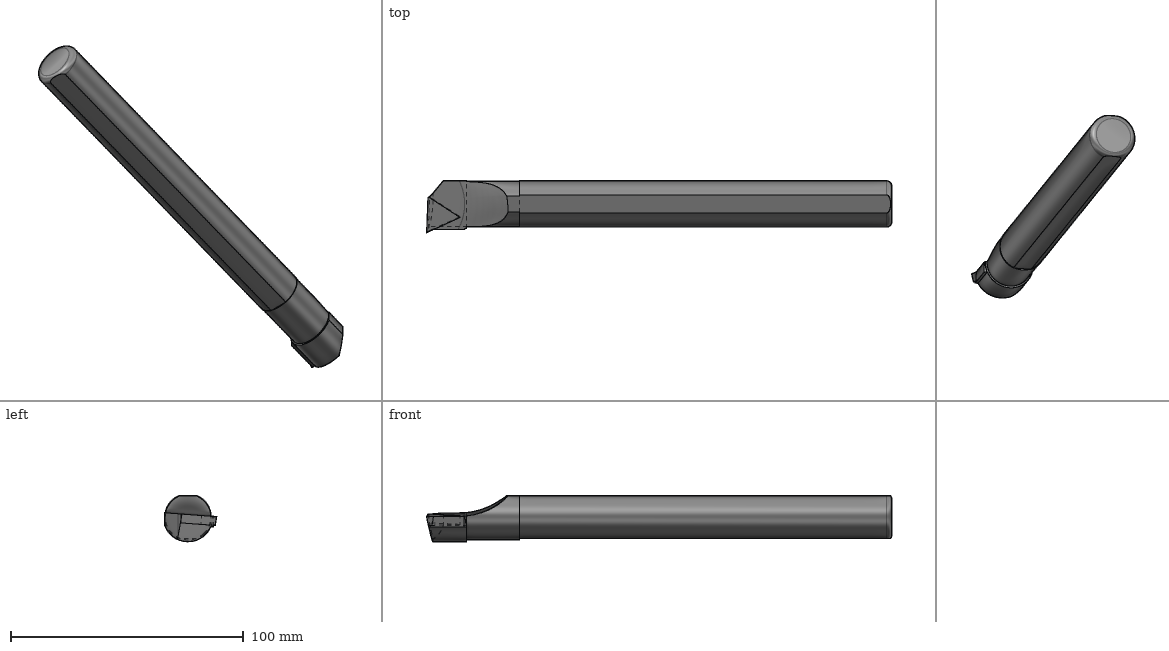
import cadquery as cq
import math

length = 200.0
shank_radius = 10.0
flat_height = 9.2
shank_start = 40.0
end_fillet = 2.4

neck_radius = 9.8
head_radius = 10.5
head_end = 17.2
head_side = 11.0
head_chamfer = 1.0
side_wall_bottom = -4.2
nose_facet_start = (0.5, 2.5)
nose_facet_end = (2.4, 4.2)
nose_chamfer_end = (7.2, 10.0)

rake_angle = 4.3
rake_height = 1.1
rake_disc_center = -6.4
rake_disc_radius = 22.8
scoop_radius = 25.2

tip = (0.0, -12.4)
heel = (0.5, 3.2)
inner_corner = (14.4, -5.8)
insert_thickness = 3.8
relief_angle = 11.0

tool_size = 40.0


def on_rake(shape):
    """Place a shape built on the XY plane onto the tilted rake face."""
    return shape.rotate((0, 0, 0), (1, 0, 0), rake_angle).translate((0, 0, rake_height))


def make_shank():
    bar = cq.Workplane("YZ", origin=(shank_start, 0, 0)).circle(shank_radius).extrude(length - shank_start)
    bar = bar.faces(">X").edges().fillet(end_fillet)
    flats = cq.Workplane("XY").box(2 * length, tool_size, 2 * flat_height)
    return bar.intersect(flats)


def make_neck():
    neck = cq.Workplane("YZ").circle(neck_radius).extrude(shank_start)
    below_flat = cq.Workplane("XY", origin=(0, 0, flat_height)).box(
        2 * length, tool_size, tool_size, centered=(True, True, False)
    )
    return neck.cut(below_flat)


def make_head():
    """Full round head with a straight wall beside the insert."""
    head = cq.Workplane("YZ").circle(head_radius).extrude(head_end)
    far_side = cq.Workplane("XY", origin=(0, shank_radius, 0)).box(
        2 * length, tool_size, tool_size, centered=(True, False, True)
    )
    head = head.cut(far_side)
    wall = (
        cq.Workplane("XY", origin=(0, 0, side_wall_bottom))
        .moveTo(0, 0)
        .lineTo(0, -head_side)
        .lineTo(head_end - head_chamfer, -head_side)
        .lineTo(head_end, -head_side + head_chamfer)
        .lineTo(head_end, 0)
        .close()
        .extrude(rake_height - side_wall_bottom)
    )
    return head.union(wall)


def make_scoop():
    """Material above the rake face, ending in a concave sweep up to the top flat."""
    sweep_edge = (rake_disc_radius + scoop_radius, scoop_radius)
    middle = math.sqrt(0.5) * scoop_radius
    profile = (
        cq.Workplane("XZ")
        .lineTo(rake_disc_radius, 0)
        .threePointArc((rake_disc_radius + middle, scoop_radius - middle), sweep_edge)
        .lineTo(0, scoop_radius)
        .close()
    )
    scoop = profile.revolve(360, (0, 0, 0), (0, 1, 0))
    return on_rake(scoop.translate((rake_disc_center, 0, 0)))


def make_front_clearance():
    """Material ahead of the front edge, whose face leans back below the cutting edge."""
    slope = (heel[0] - tip[0]) / (heel[1] - tip[1])
    edge_angle = math.degrees(math.atan(slope))
    lean = tool_size * math.tan(math.radians(relief_angle))
    wedge = (
        cq.Workplane("XZ", origin=(0, tool_size, 0))
        .polyline([(0, 0), (lean, -tool_size), (-tool_size, -tool_size), (-tool_size, 0)])
        .close()
        .extrude(2 * tool_size)
    )
    return on_rake(wedge.rotate((0, 0, 0), (0, 0, 1), -edge_angle).translate((-slope * tip[1], 0, 0)))


def make_nose_clearance():
    """Material off the front corner away from the cutting tip: a narrow facet, then a long chamfer."""
    return (
        cq.Workplane("XY", origin=(0, 0, -tool_size / 2))
        .polyline([
            nose_facet_start,
            nose_facet_end,
            nose_chamfer_end,
            (nose_chamfer_end[0], tool_size),
            (-tool_size, tool_size),
            (-tool_size, nose_facet_start[1]),
        ])
        .close()
        .extrude(tool_size)
    )


def make_insert_blank():
    """Triangular prism sunk into the rake face."""
    triangle = cq.Workplane("XY").polyline([tip, inner_corner, heel]).close()
    return on_rake(triangle.extrude(-insert_thickness))


front_clearance = make_front_clearance()
nose_clearance = make_nose_clearance()

insert = make_insert_blank().cut(front_clearance).cut(nose_clearance)
holder = (
    make_head()
    .union(make_neck())
    .union(make_shank())
    .cut(make_scoop())
    .cut(front_clearance)
    .cut(nose_clearance)
    .cut(insert)
)

result = cq.Compound.makeCompound([holder.val(), insert.val()])